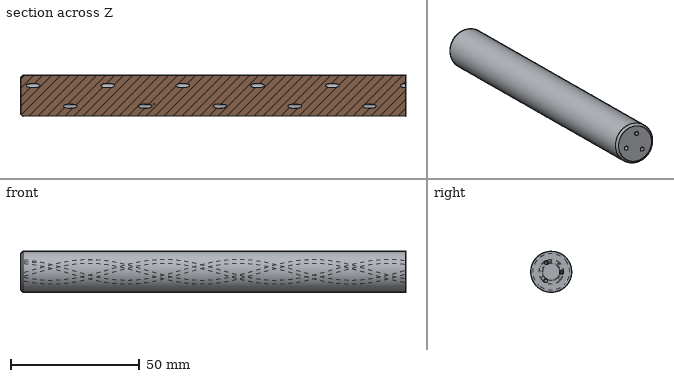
import cadquery as cq
import math

rod_length = 150.0
rod_diameter = 16.0
chamfer_size = 0.9

channel_count = 3
channel_diameter = 1.5
channel_circle_radius = 4.0
first_channel_angle = 100.0
helix_angle = 30.0
channel_lead = math.pi * rod_diameter / math.tan(math.radians(helix_angle))
channel_twist = 360.0 * rod_length / channel_lead

end_plane = cq.Workplane("YZ").workplane(offset=-rod_length / 2)


def chamfered_rod():
    rod = end_plane.circle(rod_diameter / 2).extrude(rod_length)
    return rod.faces("<X").chamfer(chamfer_size)


def helical_channel(angle):
    center_y = channel_circle_radius * math.cos(math.radians(angle))
    center_z = channel_circle_radius * math.sin(math.radians(angle))
    section = end_plane.moveTo(center_y, center_z).circle(channel_diameter / 2)
    return section.twistExtrude(rod_length, channel_twist)


result = chamfered_rod()
for index in range(channel_count):
    channel_angle = first_channel_angle + index * 360.0 / channel_count
    result = result.cut(helical_channel(channel_angle))